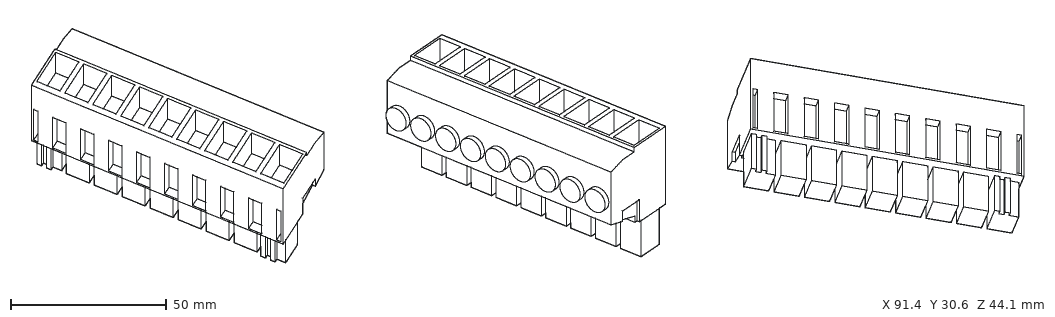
import cadquery as cq

pole_count = 9
block_length = 91.4
pole_pitch = block_length / pole_count
cell_width = 8.4
cell_wall = (pole_pitch - cell_width) / 2

total_height = 44.1
prong_height = 14.5
front_depth = 16.55
step_drop = 1.65
slope_start_y = 22.6
back_y = 28.7
upper_back_z = 40.7
lower_back_z = 20.7
base_y = 14.9
base_step_z = 16.9

pocket_front_y = 2.2
pocket_back_y = 15.45
pocket_depth = 11.0

slot_width = 4.8
slot_depth = 3.1
slot_bottom_z = 15.4
slot_top_z = 31.55

recess_front_y = 13.8
recess_top_z = 22.95
recess_depth = 1.0

end_prong_front_y = 2.2
inner_prong_front_y = 3.1
prong_back_y = 11.9
rib_width = 1.7
coding_depth = 1.3

screw_diameter = 8.3
screw_height = 1.9
screw_z = 28.8


def box_between(x_range, y_range, z_range):
    """Box spanning the given (low, high) ranges."""
    sizes = [high - low for low, high in (x_range, y_range, z_range)]
    corner = (x_range[0], y_range[0], z_range[0])
    return cq.Workplane("XY").box(*sizes, centered=False).translate(corner)


def cell_range(pole):
    """X range of the cell of one pole."""
    left = pole * pole_pitch + cell_wall
    return left, left + cell_width


def housing_shell():
    """Side profile extruded along the whole row."""
    return (
        cq.Workplane("YZ")
        .moveTo(0, prong_height)
        .lineTo(base_y, prong_height)
        .lineTo(base_y, base_step_z)
        .lineTo(back_y, lower_back_z)
        .lineTo(back_y, upper_back_z)
        .lineTo(slope_start_y, total_height - step_drop)
        .lineTo(front_depth, total_height - step_drop)
        .lineTo(front_depth, total_height)
        .lineTo(0, total_height)
        .close()
        .extrude(block_length)
    )


def wire_pocket(pole):
    z_range = (total_height - pocket_depth, total_height)
    return box_between(cell_range(pole), (pocket_front_y, pocket_back_y), z_range)


def front_slot(boundary):
    """Slot centred on a pole boundary; the end ones stop short of the end faces."""
    center = boundary * pole_pitch
    left = max(center - slot_width / 2, cell_wall)
    right = min(center + slot_width / 2, block_length - cell_wall)
    return box_between((left, right), (0, slot_depth), (slot_bottom_z, slot_top_z))


def end_recess(left):
    """Shallow recess in the lower rear corner of an end face."""
    x_range = (left, left + recess_depth)
    return box_between(x_range, (recess_front_y, slope_start_y), (prong_height, recess_top_z))


def inner_prong(pole):
    """Plain rectangular prong."""
    return box_between(cell_range(pole), (inner_prong_front_y, prong_back_y), (0, prong_height))


def end_prong(pole):
    """Prong with two ribs on its front, left by a groove and a setback."""
    left, right = cell_range(pole)
    cut_y = (end_prong_front_y, end_prong_front_y + coding_depth)
    z_range = (0, prong_height)
    block = box_between((left, right), (end_prong_front_y, prong_back_y), z_range)
    groove = box_between((left + rib_width, left + 2 * rib_width), cut_y, z_range)
    setback = box_between((left + 3 * rib_width, right), cut_y, z_range)
    return block.cut(groove).cut(setback)


def make_housing():
    housing = housing_shell()
    for pole in range(pole_count):
        housing = housing.cut(wire_pocket(pole))
        is_end = pole in (0, pole_count - 1)
        prong = end_prong(pole) if is_end else inner_prong(pole)
        housing = housing.union(prong)
    for boundary in range(pole_count + 1):
        housing = housing.cut(front_slot(boundary))
    for left in (0, block_length - recess_depth):
        housing = housing.cut(end_recess(left))
    return housing


def make_screw(pole):
    """Round screw head standing on the back face."""
    center = cq.Vector((pole + 0.5) * pole_pitch, back_y, screw_z)
    return cq.Solid.makeCylinder(screw_diameter / 2, screw_height, center, cq.Vector(0, 1, 0))


housing = make_housing()
screws = [make_screw(pole) for pole in range(pole_count)]

result = cq.Compound.makeCompound([housing.val(), *screws])